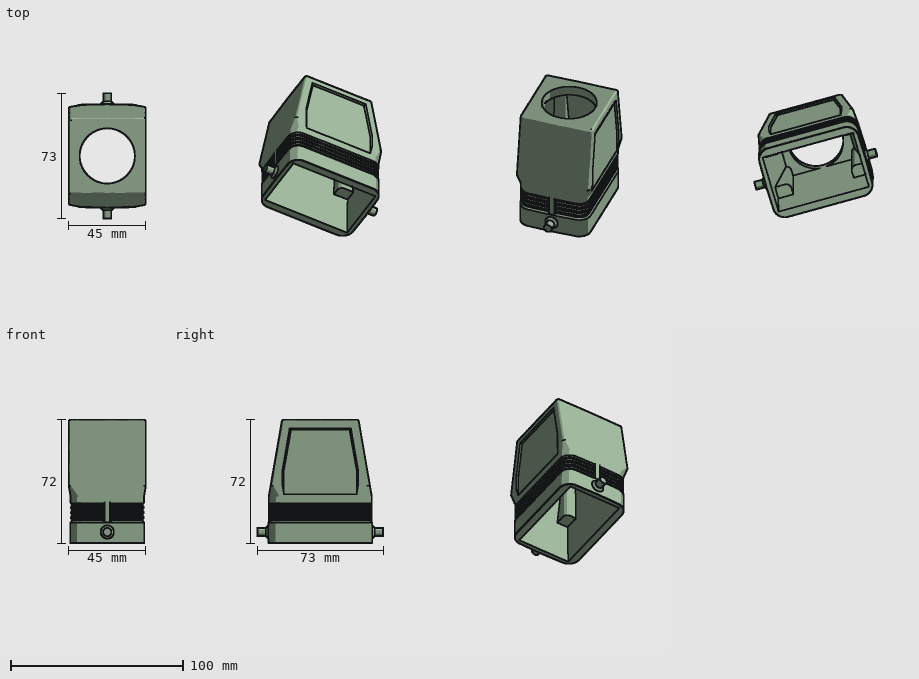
import cadquery as cq
import math

height = 72.0
length_over_pegs = 73.0
end_slope = 0.173
skirt_fold = 0.02
body_fold = 0.01

base_half_x = 21.6
base_half_y = 30.2
base_top = 12.0
bottom_edge_break = 0.2
skirt_radius = 7.1
collar_inset = 0.2
collar_half_x = base_half_x - collar_inset
collar_half_y = base_half_y - collar_inset
collar_top = 27.2
flare_height = 0.6
flare = 0.045
rim_half_x = collar_half_x + flare

grip_bottom = 12.3
groove_count = 4
groove_pitch = 2.9
groove_flank = 0.9
groove_floor = 0.65
rib_crest = groove_pitch - groove_floor - 2 * groove_flank
crest_inset = 0.4
floor_inset = 1.1
strip_half_width = 1.5

body_half_x = 22.5
body_bottom = 33.6
body_radius = 1.5
top_edge_radius = 1.45
body_bottom_half_y = collar_half_y - end_slope * (body_bottom - collar_top)
body_top_half_y = collar_half_y - end_slope * (height - collar_top)

panel_depth = 0.9
panel_bottom = 28.55
panel_knee = 42.8
panel_top = 66.15
panel_half_bottom = 21.1
panel_half_top = 16.9

entry_radius = 16.0
ceiling = height - 5.9
cavity_half_x_top = 15.85
cavity_half_x_bottom = 16.9
end_wall = 2.7
pillar_inner_x = 9.4
pillar_inner_y = 18.25
pillar_radius = 3.1

peg_z = 6.6
peg_radius = 2.4
peg_root_radius = 3.9


def corner_arc(half_x, half_y, radius, fold):
    """Start, middle and end of the +X +Y corner arc of a folded-end outline."""
    stretch = math.hypot(1, fold)
    center_x = half_x - radius
    center_y = half_y - fold * center_x - radius * stretch
    end_angle = math.atan2(1, fold)
    return [
        (center_x + radius * math.cos(angle), center_y + radius * math.sin(angle))
        for angle in (0, end_angle / 2, end_angle)
    ]


def outline(z, half_x, half_y, radius, fold):
    """Rounded rectangle at height z whose two ends are folded along X = 0."""
    start, middle, end = corner_arc(half_x, half_y, radius, fold)

    def flip(point, sign_x, sign_y):
        return (sign_x * point[0], sign_y * point[1])

    return (
        cq.Workplane("XY", origin=(0, 0, z))
        .moveTo(*flip(start, 1, -1))
        .lineTo(*start)
        .threePointArc(middle, end)
        .lineTo(0, half_y)
        .lineTo(*flip(end, -1, 1))
        .threePointArc(flip(middle, -1, 1), flip(start, -1, 1))
        .lineTo(*flip(start, -1, -1))
        .threePointArc(flip(middle, -1, -1), flip(end, -1, -1))
        .lineTo(0, -half_y)
        .lineTo(*flip(end, 1, -1))
        .threePointArc(flip(middle, 1, -1), flip(start, 1, -1))
        .wire()
        .val()
    )


def stack(wires):
    """Solid with straight flanks through a series of outlines."""
    return cq.Workplane(cq.Solid.makeLoft(wires, True))


def skirt_section(z, inset):
    """Base outline drawn in evenly by the inset."""
    return outline(z, base_half_x - inset, base_half_y - inset, skirt_radius - inset, skirt_fold)


def make_skirt():
    """Base, grooved grip band and collar."""
    sections = [(0, bottom_edge_break), (bottom_edge_break, 0), (base_top, 0), (grip_bottom, crest_inset)]
    for groove in range(groove_count):
        z = grip_bottom + groove * groove_pitch
        sections.append((z + groove_flank, floor_inset))
        sections.append((z + groove_flank + groove_floor, floor_inset))
        sections.append((z + groove_pitch - rib_crest, crest_inset))
        last = groove == groove_count - 1
        sections.append((z + groove_pitch, collar_inset if last else crest_inset))
    sections.append((collar_top - flare_height, collar_inset))
    wires = [skirt_section(level, inset) for level, inset in sections]
    wires.append(outline(collar_top, rim_half_x, collar_half_y, skirt_radius - collar_inset, skirt_fold))
    return stack(wires)


def make_strip():
    """Plain strip across the grooves at both ends, with sloping flanks."""
    groove_depth = floor_inset - collar_inset
    root_half_width = strip_half_width + groove_depth
    root_y = collar_half_y - groove_depth
    face_y = collar_half_y - skirt_fold * strip_half_width
    half = (
        cq.Workplane("XY", origin=(0, 0, base_top))
        .moveTo(-root_half_width, 0)
        .lineTo(-root_half_width, root_y)
        .lineTo(-strip_half_width, face_y)
        .lineTo(0, collar_half_y)
        .lineTo(strip_half_width, face_y)
        .lineTo(root_half_width, root_y)
        .lineTo(root_half_width, 0)
        .close()
        .extrude(collar_top - base_top)
    )
    return half.union(half.mirror("XZ"))


def make_shoulder():
    """Transition from the round-cornered collar to the sharper upper body."""
    low_corner = corner_arc(rim_half_x, collar_half_y, skirt_radius - collar_inset, skirt_fold)
    high_corner = corner_arc(body_half_x, body_bottom_half_y, body_radius, body_fold)
    low = [cq.Vector(x, y, collar_top) for x, y in low_corner]
    high = [cq.Vector(x, y, body_bottom) for x, y in high_corner]
    low_axis = cq.Vector(0, 0, collar_top)
    high_axis = cq.Vector(0, 0, body_bottom)
    low_side = cq.Vector(rim_half_x, 0, collar_top)
    high_side = cq.Vector(body_half_x, 0, body_bottom)
    low_ridge = cq.Vector(0, collar_half_y, collar_top)
    high_ridge = cq.Vector(0, body_bottom_half_y, body_bottom)
    low_arc = cq.Edge.makeThreePointArc(*low)
    high_arc = cq.Edge.makeThreePointArc(*high)

    def flat(*points):
        return cq.Face.makeFromWires(cq.Wire.makePolygon(points, close=True))

    def cap(axis, side, arc_points, arc, ridge):
        edges = [
            cq.Edge.makeLine(axis, side),
            cq.Edge.makeLine(side, arc_points[0]),
            arc,
            cq.Edge.makeLine(arc_points[2], ridge),
            cq.Edge.makeLine(ridge, axis),
        ]
        return cq.Face.makeFromWires(cq.Wire.assembleEdges(edges))

    faces = [
        cap(low_axis, low_side, low, low_arc, low_ridge),
        cap(high_axis, high_side, high, high_arc, high_ridge),
        flat(low_axis, low_side, high_side, high_axis),
        flat(low_axis, low_ridge, high_ridge, high_axis),
        flat(low_side, low[0], high[0], high_side),
        cq.Face.makeRuledSurface(low_arc, high_arc),
        flat(low[2], low_ridge, high[2]),
        flat(low_ridge, high_ridge, high[2]),
    ]
    quarter = cq.Workplane(cq.Solid.makeSolid(cq.Shell.makeShell(faces)))
    half = quarter.union(quarter.mirror("YZ"))
    return half.union(half.mirror("XZ"))


def make_upper_body():
    wires = [
        outline(body_bottom, body_half_x, body_bottom_half_y, body_radius, body_fold),
        outline(height, body_half_x, body_top_half_y, body_radius, body_fold),
    ]
    return stack(wires).faces(">Z").edges().fillet(top_edge_radius)


def panel_outline(x, growth):
    """Panel floor outline, enlarged by the growth, at the given X."""
    half_bottom = panel_half_bottom + growth
    half_top = panel_half_top + growth
    return (
        cq.Workplane("YZ", origin=(x, 0, 0))
        .polyline([
            (-half_bottom, panel_bottom - growth),
            (half_bottom, panel_bottom - growth),
            (half_bottom, panel_knee),
            (half_top, panel_top + growth),
            (-half_top, panel_top + growth),
            (-half_bottom, panel_knee),
        ])
        .close()
        .val()
    )


def make_panel_cutters():
    """Tapered recess for each long side, running out through the shoulder."""
    floor = panel_outline(body_half_x - panel_depth, 0)
    rim = panel_outline(body_half_x, panel_depth)
    cutter = stack([floor, rim])
    return cutter.union(cutter.mirror("YZ"))


def make_cavity():
    """Open-bottomed cavity with sloping ends and a rounded pillar in each upper corner."""
    low_half_y = collar_half_y - end_wall
    top_half_y = low_half_y - end_slope * (ceiling - collar_top)
    end_profile = (
        cq.Workplane("YZ", origin=(-base_half_x, 0, 0))
        .polyline([
            (-low_half_y, 0),
            (low_half_y, 0),
            (low_half_y, collar_top),
            (top_half_y, ceiling),
            (-top_half_y, ceiling),
            (-low_half_y, collar_top),
        ])
        .close()
        .extrude(2 * base_half_x)
    )
    side_profile = (
        cq.Workplane("XZ", origin=(0, base_half_y, 0))
        .polyline([
            (-cavity_half_x_bottom, 0),
            (cavity_half_x_bottom, 0),
            (cavity_half_x_top, ceiling),
            (-cavity_half_x_top, ceiling),
        ])
        .close()
        .extrude(2 * base_half_y)
    )
    pillar_size_x = base_half_x - pillar_inner_x
    pillar_size_y = base_half_y - pillar_inner_y
    pillar = (
        cq.Workplane("XY", origin=(pillar_inner_x, pillar_inner_y, collar_top))
        .rect(pillar_size_x, pillar_size_y, centered=False)
        .extrude(height - collar_top)
        .edges("|Z and <X and <Y")
        .fillet(pillar_radius)
    )
    pillar_pair = pillar.union(pillar.mirror("YZ"))
    pillars = pillar_pair.union(pillar_pair.mirror("XZ"))
    return end_profile.intersect(side_profile).cut(pillars)


def make_pegs():
    """Cylindrical pegs with conical roots at both ends."""
    root_length = peg_root_radius - peg_radius
    tip_y = length_over_pegs / 2
    start_y = base_half_y - end_wall / 2
    peg = (
        cq.Workplane("XY", origin=(0, 0, peg_z))
        .polyline([
            (0, start_y),
            (peg_root_radius, start_y),
            (peg_root_radius, base_half_y),
            (peg_radius, base_half_y + root_length),
            (peg_radius, tip_y),
            (0, tip_y),
        ])
        .close()
        .revolve(360, (0, 0, 0), (0, 1, 0))
    )
    return peg.union(peg.mirror("XZ"))


outer = make_skirt().union(make_strip()).union(make_shoulder()).union(make_upper_body())
entry = cq.Workplane("XY", origin=(0, 0, collar_top)).circle(entry_radius).extrude(height)
result = outer.cut(make_panel_cutters()).cut(make_cavity()).cut(entry).union(make_pegs())